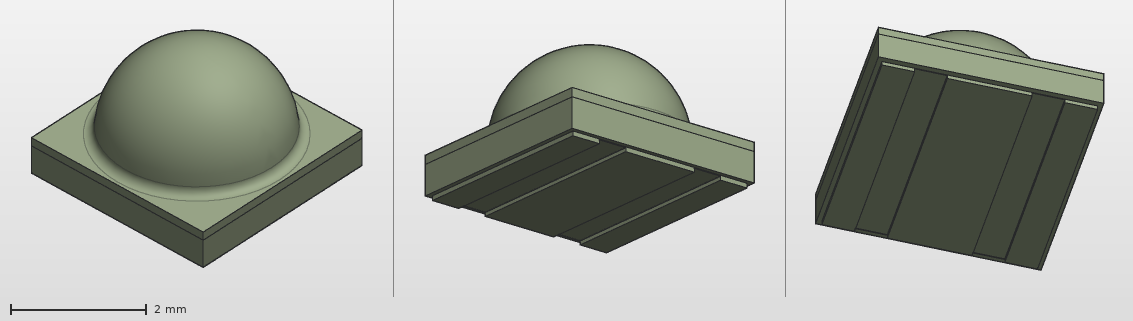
import cadquery as cq
import math

body_width = 3.45
total_height = 2.26

pad_thickness = 0.075
base_thickness = 0.5
lens_plate_thickness = 0.15

pad_inset = 0.075
side_pad_width = 0.5
pad_gap = 0.5
strip_thickness = 0.015

dome_radius = 1.518

fillet_radius = 0.16

base_bottom = pad_thickness
base_top = base_bottom + base_thickness
plate_top = base_top + lens_plate_thickness
dome_center_z = total_height - dome_radius

pad_length = body_width - 2 * pad_inset
center_pad_width = pad_length - 2 * (side_pad_width + pad_gap)
side_pad_y = (pad_length - side_pad_width) / 2
strip_y = (center_pad_width + pad_gap) / 2


def block(length, width, height, bottom, y=0.0):
    """Rectangular block centred on X = 0, with its underside at the given height."""
    return cq.Workplane("XY", origin=(0, y, bottom)).rect(length, width).extrude(height)


def make_base():
    return block(body_width, body_width, base_thickness, base_bottom)


def make_lens():
    """Square plate with a spherical dome blended into it by a concave fillet."""
    plate = block(body_width, body_width, lens_plate_thickness, base_top)

    fillet_center_distance = dome_radius + fillet_radius
    fillet_center_z = plate_top + fillet_radius
    fillet_rise = fillet_center_z - dome_center_z
    foot_radius = math.sqrt(fillet_center_distance**2 - fillet_rise**2)
    fillet_angle = math.asin(fillet_rise / fillet_center_distance)
    tangent = (
        dome_radius * math.cos(fillet_angle),
        dome_center_z + dome_radius * math.sin(fillet_angle),
    )

    mid_angle = (math.pi / 2 + fillet_angle) / 2
    fillet_mid = (
        foot_radius - fillet_radius * math.cos(mid_angle),
        fillet_center_z - fillet_radius * math.sin(mid_angle),
    )
    dome_mid = (
        dome_radius * math.cos(mid_angle),
        dome_center_z + dome_radius * math.sin(mid_angle),
    )

    dome = (
        cq.Workplane("XZ")
        .moveTo(0, base_top)
        .lineTo(foot_radius, base_top)
        .lineTo(foot_radius, plate_top)
        .threePointArc(fillet_mid, tangent)
        .threePointArc(dome_mid, (0, total_height))
        .close()
        .revolve(360, (0, 0, 0), (0, 1, 0))
    )
    return plate.union(dome)


def make_pad(width, y):
    return block(pad_length, width, pad_thickness, 0, y)


def make_strip(y):
    return block(pad_length, pad_gap, strip_thickness, base_bottom - strip_thickness, y)


base = make_base()
lens = make_lens()
center_pad = make_pad(center_pad_width, 0)
side_pads = [make_pad(side_pad_width, side * side_pad_y) for side in (-1, 1)]
strips = [make_strip(side * strip_y) for side in (-1, 1)]

result = cq.Compound.makeCompound(
    [
        base.val(),
        lens.val(),
        center_pad.val(),
        *[pad.val() for pad in side_pads],
        *[strip.val() for strip in strips],
    ]
)